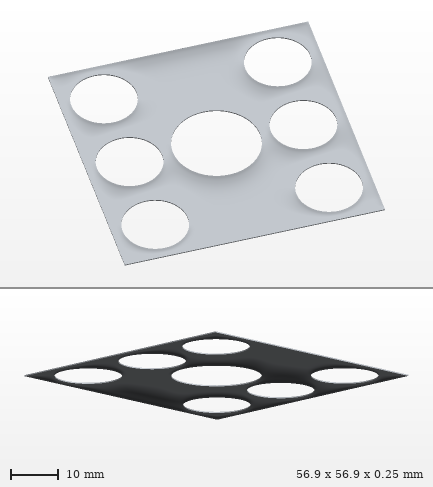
import cadquery as cq

side = 56.9
thickness = 0.25

center_hole_diameter = 19.05
row_hole_diameter = 14.2
hole_pitch = 19.0
row_spacing = 2 * hole_pitch

plate = cq.Workplane("XY").box(side, side, thickness, centered=(True, True, False))

plate = plate.faces(">Z").workplane().hole(center_hole_diameter)

result = (
    plate.faces(">Z")
    .workplane()
    .rarray(hole_pitch, row_spacing, 3, 2)
    .hole(row_hole_diameter)
)